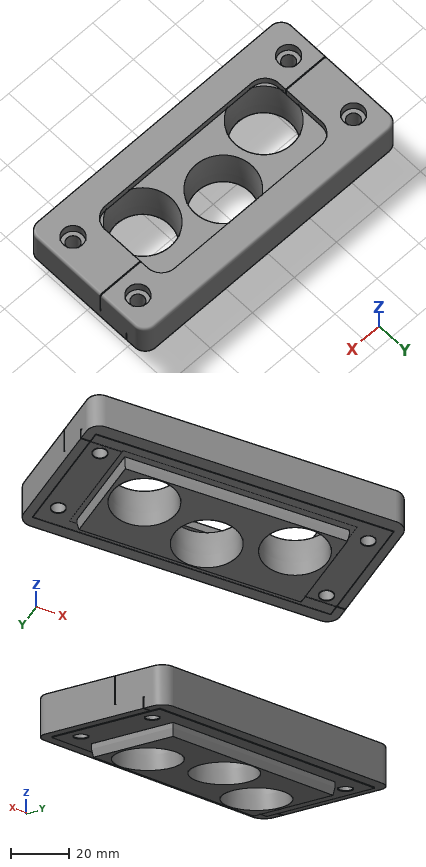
import cadquery as cq
import math

LENGTH = 121.0
WIDTH = 58.0
TOTAL_HEIGHT = 20.0

FRAME_HEIGHT = 14.8
CORNER_RADIUS = 5.0
TOP_EDGE_RADIUS = 1.1
LIP_THICKNESS = 3.3
WINDOW_LENGTH = 82.8
WINDOW_WIDTH = 34.1
WINDOW_CORNER_RADIUS = 6.5

JOINT_UPPER_OFFSET = 7.0
JOINT_LOWER_OFFSET = 19.8
JOINT_GAP = 0.4
JOINT_STEP_DEPTH = 10.6

SCREW_OFFSET_X = 51.3
SCREW_OFFSET_Y = 16.0
SCREW_DIAMETER = 5.5
HEAD_DIAMETER = 9.0
HEAD_DEPTH = 4.0

CORE_LENGTH = 89.5
CORE_WIDTH = 41.1
SEAL_LENGTH = 114.0
SEAL_WIDTH = 48.4
SEAL_THICKNESS = 0.4
PLUG_LENGTH = 85.9
PLUG_WIDTH = 36.5
PLUG_TAPER_START = 17.1
PLUG_TAPER_INSET = 0.5

BORE_PITCH = 28.8
BORE_STAGGER = 5.0
BORE_DIAMETER = 24.9
BORE_RIM_DIAMETER = 27.0
MOUTH_BOTTOM_DEPTH = 14.3
MOUTH_BULGE = 0.2

seal_bottom_depth = FRAME_HEIGHT + SEAL_THICKNESS

screw_points = [(sx * SCREW_OFFSET_X, sy * SCREW_OFFSET_Y) for sx in (-1, 1) for sy in (-1, 1)]
bore_points = [(-BORE_PITCH, -BORE_STAGGER), (0, BORE_STAGGER), (BORE_PITCH, -BORE_STAGGER)]


def block(length, width, top_depth, bottom_depth):
    """Centred rectangular block between two depths below the frame's top face."""
    height = bottom_depth - top_depth
    return cq.Workplane("XY").workplane(offset=-bottom_depth).rect(length, width).extrude(height)


def make_undivided_frame():
    """Rounded cover with a window, a cavity for the insert core and counterbored screw holes."""
    frame = block(LENGTH, WIDTH, 0, FRAME_HEIGHT)
    frame = frame.edges("|Z").fillet(CORNER_RADIUS)
    frame = frame.faces(">Z").edges().fillet(TOP_EDGE_RADIUS)
    window = block(WINDOW_LENGTH, WINDOW_WIDTH, 0, FRAME_HEIGHT).edges("|Z").fillet(WINDOW_CORNER_RADIUS)
    cavity = block(CORE_LENGTH, CORE_WIDTH, LIP_THICKNESS, FRAME_HEIGHT)
    frame = frame.cut(window).cut(cavity)
    return (
        frame.faces(">Z").workplane(origin=(0, 0, 0)).pushPoints(screw_points)
        .cboreHole(SCREW_DIAMETER, HEAD_DIAMETER, HEAD_DEPTH)
    )


def make_end_region(start_x, upper_edge, lower_edge):
    """Half-length space on the +Y side of a stepped edge, given by its Y above and below the step."""
    return (
        cq.Workplane("YZ", origin=(start_x, 0, 0))
        .moveTo(upper_edge, 0)
        .lineTo(upper_edge, -JOINT_STEP_DEPTH)
        .lineTo(lower_edge, -JOINT_STEP_DEPTH)
        .lineTo(lower_edge, -FRAME_HEIGHT)
        .lineTo(WIDTH / 2, -FRAME_HEIGHT)
        .lineTo(WIDTH / 2, 0)
        .close()
        .extrude(LENGTH / 2)
    )


def make_half_region():
    """Space of the +Y frame half: past the middle at the -X end, short of it at the +X end."""
    half_gap = JOINT_GAP / 2
    left = make_end_region(-LENGTH / 2, half_gap - JOINT_UPPER_OFFSET, half_gap - JOINT_LOWER_OFFSET)
    right = make_end_region(0, half_gap + JOINT_UPPER_OFFSET, half_gap + JOINT_LOWER_OFFSET)
    return left.union(right)


def make_frame():
    """Two identical halves joined into one body where their steps meet; the seam edges are kept."""
    half = make_undivided_frame().intersect(make_half_region())
    opposite_half = half.rotate((0, 0, 0), (0, 0, 1), 180)
    return half.union(opposite_half, clean=False)


def make_bore(x, y):
    """Trumpet-shaped mouth at the core's top, narrowing into a straight through hole."""
    rim_radius = BORE_RIM_DIAMETER / 2
    hole_radius = BORE_DIAMETER / 2
    mouth_mid_radius = (rim_radius + hole_radius) / 2 - MOUTH_BULGE
    mouth_mid_depth = (LIP_THICKNESS + MOUTH_BOTTOM_DEPTH) / 2
    profile = (
        cq.Workplane("XZ")
        .moveTo(0, -LIP_THICKNESS)
        .lineTo(rim_radius, -LIP_THICKNESS)
        .threePointArc((mouth_mid_radius, -mouth_mid_depth), (hole_radius, -MOUTH_BOTTOM_DEPTH))
        .lineTo(hole_radius, -TOTAL_HEIGHT)
        .lineTo(0, -TOTAL_HEIGHT)
        .close()
    )
    return profile.revolve(360, (0, 0, 0), (0, 1, 0)).translate((x, y, 0))


def make_insert():
    """Core inside the frame, thin seal under it and a tapered plug below, with three cable bores."""
    core = block(CORE_LENGTH, CORE_WIDTH, LIP_THICKNESS, FRAME_HEIGHT)
    seal = block(SEAL_LENGTH, SEAL_WIDTH, FRAME_HEIGHT, seal_bottom_depth)
    plug = block(PLUG_LENGTH, PLUG_WIDTH, seal_bottom_depth, PLUG_TAPER_START)
    taper_height = TOTAL_HEIGHT - PLUG_TAPER_START
    taper_angle = math.degrees(math.atan2(PLUG_TAPER_INSET, taper_height))
    plug_base = plug.faces("<Z").wires().toPending().workplane()
    tip = plug_base.extrude(taper_height, combine=False, taper=taper_angle)
    insert = core.union(seal).union(plug).union(tip)
    for x, y in bore_points:
        insert = insert.cut(make_bore(x, y))
    screw_holes = (
        cq.Workplane("XY").workplane(offset=-seal_bottom_depth).pushPoints(screw_points)
        .circle(SCREW_DIAMETER / 2).extrude(SEAL_THICKNESS)
    )
    return insert.cut(screw_holes)


frame = make_frame()
insert = make_insert()

result = cq.Compound.makeCompound([frame.solids().val(), insert.solids().val()])